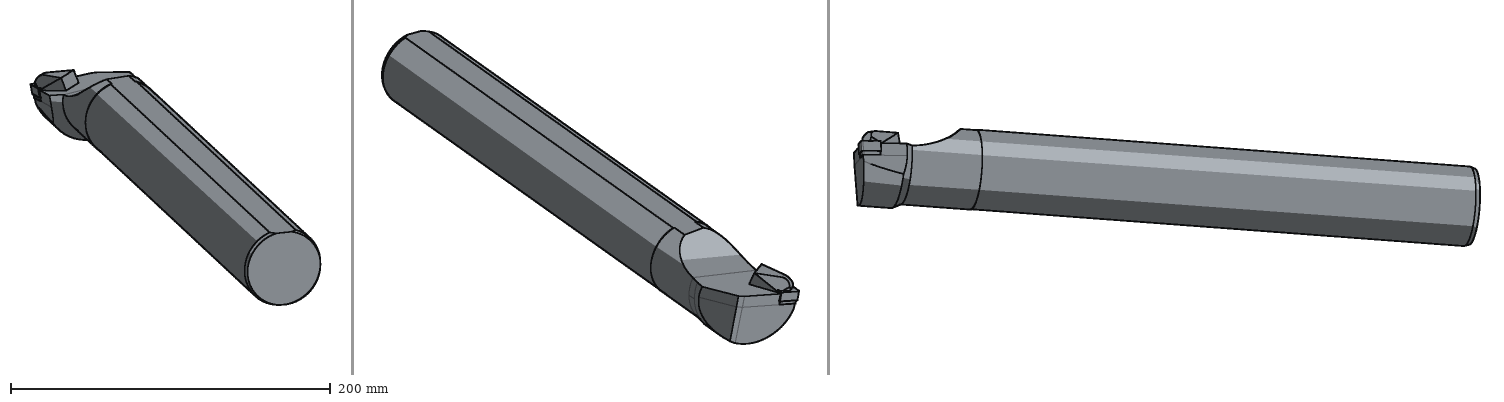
import cadquery as cq
import math

clear = 120.0

overall_length = 399.92
shank_radius = 25.0
flat_height = 23.5
end_chamfer_length = 3.0
end_chamfer_depth = 1.0

neck_end = 80.0
neck_radius = shank_radius
neck_drop = 0.3
head_radius = 29.5
head_end = 28.5
cone_end = 35.0
head_offset = head_radius - shank_radius

tip_reach = 34.93
tip_height = 1.4
pitch = math.radians(4.5)
roll = math.radians(8.5)
seat_y_dir = cq.Vector(0, math.cos(roll), math.sin(roll))
seat_normal = cq.Vector(-math.tan(pitch), -math.tan(roll), 1).normalized()
seat_x_dir = seat_y_dir.cross(seat_normal)
tip = (0, -tip_reach, tip_height)

top_face_level = -1.3
runout_start = 35.0
runout_radius = 55.0
runout_sweep = math.radians(60.0)
band_depth = 7.5
relief_angle = 2.0
head_setback = 1.0
side_lead = math.radians(4.0)
front_corner = (4.0, 38.6)
bevel_start = (5.3, 42.0)

insert_edge = 12.9
insert_thickness = 6.35
nose_radius = 0.8
edge_lead = 5.0
insert_corner = 80.0
shim_inset = 0.5
shim_thickness = band_depth - top_face_level - insert_thickness

clamp_angle = 41.0
clamp_height = 7.2
clamp_half_width = 7.7
clamp_nose = 5.5
clamp_nose_half_width = 3.0
clamp_shoulder = 11.0
clamp_top_start = 12.5
clamp_top_half_width = 2.5
clamp_top_back = 29.0
clamp_back = 31.0


def seat_plane(level=0.0):
    """Plane parallel to the seat, raised by level along the seat normal."""
    origin = cq.Vector(*tip) + seat_normal * level
    return cq.Plane(origin=origin, xDir=seat_x_dir, normal=seat_normal)


def upright_plane(angle=0.0):
    """Plane through the tip, square to the seat, running at an angle from the seat X."""
    turn = math.radians(angle)
    along = seat_x_dir * math.cos(turn) + seat_y_dir * math.sin(turn)
    return cq.Plane(origin=tip, xDir=along, normal=along.cross(seat_normal))


def round_bar(x_start, x_end, radius, y=0.0, z=0.0):
    """Cylinder along X with its axis at the given Y and Z."""
    plane = cq.Workplane("YZ", origin=(x_start, y, z))
    return plane.circle(radius).extrude(x_end - x_start)


def make_bar():
    """Shank, neck, cone and round head blank, with the flat cut along the top."""
    shank = round_bar(neck_end, overall_length, shank_radius)
    shank = shank.faces(">X").chamfer(end_chamfer_length, end_chamfer_depth)
    neck = round_bar(cone_end, neck_end, neck_radius, z=-neck_drop)
    cone = (
        cq.Workplane("YZ", origin=(head_end, -head_offset, 0))
        .circle(head_radius)
        .workplane(offset=cone_end - head_end)
        .center(head_offset, -neck_drop)
        .circle(neck_radius)
        .loft()
    )
    head = round_bar(-clear, head_end, head_radius, y=-head_offset)
    bar = shank.union(neck).union(cone).union(head)
    above_flat = cq.Workplane("XY", origin=(overall_length / 2, 0, flat_height)).box(
        2 * overall_length, clear, clear, centered=(True, True, False)
    )
    return bar.cut(above_flat)


def head_outline(level):
    """Head outline on the seat; its +Y and +X sides lie clear of the bar."""
    far_side = clear
    far_end = 2 * clear
    bevel_run = far_side - bevel_start[1]
    side_rise = (far_end - head_setback) * math.tan(side_lead)
    return cq.Workplane(seat_plane(level)).polyline(
        [
            (head_setback, head_setback),
            front_corner,
            bevel_start,
            (bevel_start[0] + bevel_run, far_side),
            (far_end, far_side),
            (far_end, head_setback + side_rise),
        ]
    ).close()


def trim_head(bar):
    """Cut the head to its outline: upright faces on the band, relieved faces below it."""
    upper = head_outline(top_face_level - band_depth).extrude(clear)
    lower = head_outline(top_face_level - band_depth).extrude(-clear, taper=relief_angle)
    head_zone = cq.Workplane("XY").box(2 * clear, clear, clear).translate((cone_end - clear, 0, 0))
    kept = bar.intersect(head_zone).intersect(upper.union(lower))
    return bar.cut(head_zone).union(kept)


def runout_cutter():
    """Everything above the head top face, ending in an arc that sweeps up to the flat."""

    def arc_point(angle):
        return (
            runout_start + runout_radius * math.sin(angle),
            top_face_level + runout_radius * (1 - math.cos(angle)),
        )

    return (
        cq.Workplane(upright_plane())
        .moveTo(-clear, top_face_level)
        .lineTo(runout_start, top_face_level)
        .threePointArc(arc_point(runout_sweep / 2), arc_point(runout_sweep))
        .lineTo(arc_point(runout_sweep)[0], clear)
        .lineTo(-clear, clear)
        .close()
        .extrude(clear, both=True)
    )


def rhombus(level, thickness, inset=0.0):
    """80 degree rhombic plate hanging below level, its nose touching the tip's X and Y."""
    lead = math.radians(edge_lead)
    half = math.radians(insert_corner / 2)
    corner_to_centre = nose_radius / math.sin(half)
    corner = nose_radius - corner_to_centre * math.cos(math.radians(45))
    along_x = (insert_edge * math.cos(lead), insert_edge * math.sin(lead))
    along_y = (insert_edge * math.sin(lead), insert_edge * math.cos(lead))
    plate = (
        cq.Workplane(seat_plane(level))
        .polyline(
            [
                (corner, corner),
                (corner + along_x[0], corner + along_x[1]),
                (corner + along_x[0] + along_y[0], corner + along_x[1] + along_y[1]),
                (corner + along_y[0], corner + along_y[1]),
            ]
        )
        .close()
    )
    if inset:
        plate = plate.offset2D(-inset)
    plate = plate.extrude(-thickness)
    nose_edge = cq.NearestToPointSelector(tip)
    return plate.edges(cq.ParallelDirSelector(seat_normal)).edges(nose_edge).fillet(nose_radius)


def clamp_facet_cutter(side):
    """Material outside the sloping facet on one side (+1 or -1) of the clamp."""
    frame = seat_plane().rotated((0, 0, clamp_angle))
    back_top = frame.toWorldCoords((clamp_top_back, side * clamp_half_width, clamp_height))
    front_top = frame.toWorldCoords((clamp_top_start, side * clamp_top_half_width, clamp_height))
    front_base = frame.toWorldCoords((clamp_shoulder, side * clamp_half_width, top_face_level))
    outward = (front_base - back_top).cross(front_top - back_top) * side
    facet = cq.Plane(origin=back_top, xDir=front_top - back_top, normal=outward)
    return cq.Workplane(facet).rect(clear, clear).extrude(clear)


def make_clamp():
    """Strap with a rounded nose, a sloping back and two facets that narrow its top."""
    arc_run = clamp_top_start - clamp_nose
    strap = (
        cq.Workplane(upright_plane(clamp_angle))
        .moveTo(clamp_nose, top_face_level)
        .lineTo(clamp_nose, 0)
        .threePointArc(
            (
                clamp_nose + arc_run * (1 - math.cos(math.pi / 4)),
                clamp_height * math.sin(math.pi / 4),
            ),
            (clamp_top_start, clamp_height),
        )
        .lineTo(clamp_top_back, clamp_height)
        .lineTo(clamp_back, top_face_level)
        .close()
        .extrude(2 * clamp_half_width, both=True)
    )
    plan_plane = seat_plane(top_face_level).rotated((0, 0, clamp_angle))
    one_side = [
        (clamp_nose, clamp_nose_half_width),
        (clamp_shoulder, clamp_half_width),
        (clamp_back, clamp_half_width),
    ]
    other_side = [(x, -y) for x, y in reversed(one_side)]
    plan = cq.Workplane(plan_plane).polyline(one_side + other_side).close().extrude(clear)
    clamp = strap.intersect(plan)
    for side in (-1, 1):
        clamp = clamp.cut(clamp_facet_cutter(side))
    return clamp


insert = rhombus(0, insert_thickness)
shim = rhombus(-insert_thickness, shim_thickness, shim_inset)
holder = trim_head(make_bar()).cut(runout_cutter())
holder = holder.union(shim).union(make_clamp()).cut(insert)

result = cq.Compound.makeCompound([*holder.vals(), *insert.vals()])